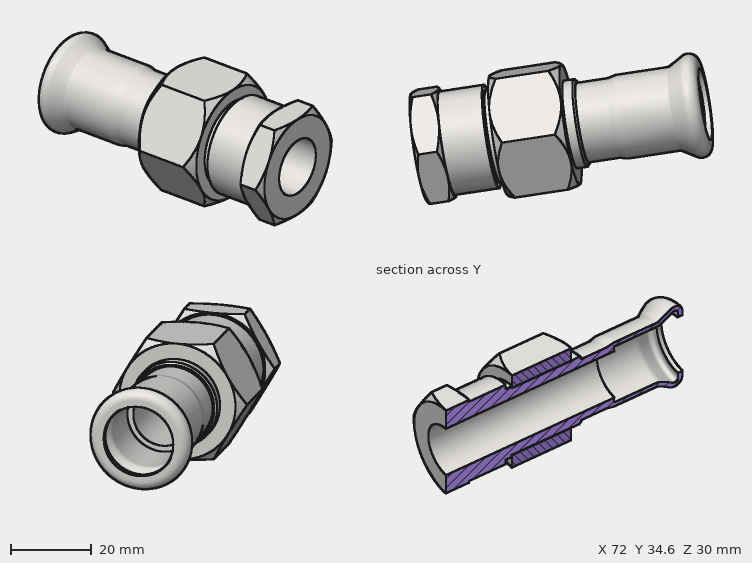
import cadquery as cq
import math

LENGTH = 72.0
BEAD_BLEND_END = 8.0
TAPER_START = 20.7
COLLAR_START = 30.8
NUT_START = 33.9
NUT_LENGTH = 18.0
RELIEF_START = 53.4
RELIEF_END = 53.85
END_HEX_LENGTH = 7.05

BEAD_DIAMETER = 26.1
BEAD_RADIUS = 2.5
BEAD_START_ANGLE = -90.0
BEAD_SLOPE = 30.0
BEAD_BLEND_RADIUS = 1.6
PIPE_DIAMETER = 21.0
NECK_DIAMETER = 20.0
TAPER_SLOPE = 14.0
TAPER_OUTER_RADIUS = 1.8
TAPER_INNER_RADIUS = 2.9
COLLAR_DIAMETER = 22.0
COLLAR_CHAMFER = 0.6
SHOULDER_DIAMETER = 23.2
RELIEF_DIAMETER = 23.0
BARREL_DIAMETER = 26.0

SOCKET_DIAMETER = 18.0
SOCKET_DEPTH = TAPER_START
BORE_DIAMETER = 15.0

NUT_FLATS = 30.0
NUT_CHAMFER_ANGLE = 45.0
END_HEX_FLATS = 27.0
END_HEX_CHAMFER_ANGLE = 30.0


def cylinder(diameter, start, end):
    """Solid cylinder along X."""
    return cq.Workplane("YZ", origin=(start, 0, 0)).circle(diameter / 2).extrude(end - start)


def arc_point(center, radius, angle):
    """Point on an arc, with the angle in degrees measured from +radial toward +X."""
    turn = math.radians(angle)
    return (center[0] + radius * math.sin(turn), center[1] + radius * math.cos(turn))


def sloped_step(profile, top, bottom, slope, start=0.0):
    """Add a convex arc, a tangent slope and a concave arc to a half profile.

    Both arcs are (center, radius); the convex one begins at the start angle
    and the concave one ends parallel to the axis.
    """
    top_center, top_radius = top
    bottom_center, bottom_radius = bottom
    return (
        profile
        .threePointArc(
            arc_point(top_center, top_radius, (start + slope) / 2),
            arc_point(top_center, top_radius, slope),
        )
        .lineTo(*arc_point(bottom_center, -bottom_radius, slope))
        .threePointArc(
            arc_point(bottom_center, -bottom_radius, slope / 2),
            arc_point(bottom_center, -bottom_radius, 0),
        )
    )


def step_length(drop, top_radius, bottom_radius, slope):
    """Axial length of a sloped step between the two arc centers."""
    turn = math.radians(slope)
    radii = top_radius + bottom_radius
    slope_drop = drop - radii * (1 - math.cos(turn))
    return radii * math.sin(turn) + slope_drop / math.tan(turn)


def bead_arc_centers():
    """Centers of the bead rounding and of the blend behind it, as (X, radial)."""
    bead_center = (BEAD_RADIUS, BEAD_DIAMETER / 2 - BEAD_RADIUS)
    blend_center = (BEAD_BLEND_END, PIPE_DIAMETER / 2 + BEAD_BLEND_RADIUS)
    return bead_center, blend_center


def press_tail():
    """Revolved press end: bead, pipe, tapered step, neck and chamfered collar."""
    pipe = PIPE_DIAMETER / 2
    neck = NECK_DIAMETER / 2
    collar = COLLAR_DIAMETER / 2

    bead_center, bead_blend_center = bead_arc_centers()
    taper_run = step_length(pipe - neck, TAPER_OUTER_RADIUS, TAPER_INNER_RADIUS, TAPER_SLOPE)
    taper_center = (TAPER_START, pipe - TAPER_OUTER_RADIUS)
    neck_center = (TAPER_START + taper_run, neck + TAPER_INNER_RADIUS)

    profile = cq.Workplane("XY").lineTo(0, bead_center[1])
    profile = sloped_step(
        profile,
        (bead_center, BEAD_RADIUS),
        (bead_blend_center, BEAD_BLEND_RADIUS),
        BEAD_SLOPE,
        start=BEAD_START_ANGLE,
    )
    profile = profile.lineTo(TAPER_START, pipe)
    profile = sloped_step(
        profile, (taper_center, TAPER_OUTER_RADIUS), (neck_center, TAPER_INNER_RADIUS), TAPER_SLOPE
    )
    profile = (
        profile
        .lineTo(COLLAR_START, neck)
        .lineTo(COLLAR_START, collar - COLLAR_CHAMFER)
        .lineTo(COLLAR_START + COLLAR_CHAMFER, collar)
        .lineTo(NUT_START, collar)
        .lineTo(NUT_START, 0)
        .close()
    )
    return profile.revolve(360, (0, 0, 0), (1, 0, 0))


def socket():
    """Pipe socket with a seal groove that leaves an even wall inside the bead."""
    socket_radius = SOCKET_DIAMETER / 2
    wall = PIPE_DIAMETER / 2 - socket_radius
    bead_center, bead_blend_center = bead_arc_centers()
    profile = (
        cq.Workplane("XY")
        .lineTo(0, socket_radius)
        .lineTo(wall, socket_radius)
        .lineTo(wall, bead_center[1])
    )
    profile = sloped_step(
        profile,
        (bead_center, BEAD_RADIUS - wall),
        (bead_blend_center, BEAD_BLEND_RADIUS + wall),
        BEAD_SLOPE,
        start=BEAD_START_ANGLE,
    )
    return (
        profile
        .lineTo(SOCKET_DEPTH, socket_radius)
        .lineTo(SOCKET_DEPTH, 0)
        .close()
        .revolve(360, (0, 0, 0), (1, 0, 0))
    )


def chamfered_hexagon(flats, start, length, chamfer_angle):
    """Hexagon along X with corners on +-Y, both ends turned down to the flats."""
    corner = flats / math.sqrt(3)
    inner = flats / 2
    chamfer = (corner - inner) * math.tan(math.radians(chamfer_angle))
    end = start + length
    prism = cq.Workplane("YZ", origin=(start, 0, 0)).polygon(6, 2 * corner).extrude(length)
    envelope = (
        cq.Workplane("XY")
        .polyline([
            (start, 0),
            (start, inner),
            (start + chamfer, corner),
            (end - chamfer, corner),
            (end, inner),
            (end, 0),
        ])
        .close()
        .revolve(360, (0, 0, 0), (1, 0, 0))
    )
    return prism.intersect(envelope)


def make_fitting():
    """Through-bored fitting with the press end, barrel and end hexagon."""
    nut_end = NUT_START + NUT_LENGTH
    end_hex_start = LENGTH - END_HEX_LENGTH
    body = (
        press_tail()
        .union(cylinder(COLLAR_DIAMETER, NUT_START, nut_end))
        .union(cylinder(SHOULDER_DIAMETER, nut_end, RELIEF_START))
        .union(cylinder(RELIEF_DIAMETER, RELIEF_START, RELIEF_END))
        .union(cylinder(BARREL_DIAMETER, RELIEF_END, end_hex_start))
        .union(chamfered_hexagon(END_HEX_FLATS, end_hex_start, END_HEX_LENGTH, END_HEX_CHAMFER_ANGLE))
    )
    return (
        body
        .cut(socket())
        .cut(cylinder(BORE_DIAMETER, 0, LENGTH))
    )


def make_union_nut():
    """Hexagonal union nut around the collar."""
    nut = chamfered_hexagon(NUT_FLATS, NUT_START, NUT_LENGTH, NUT_CHAMFER_ANGLE)
    return nut.cut(cylinder(COLLAR_DIAMETER, NUT_START, NUT_START + NUT_LENGTH))


fitting = make_fitting()
union_nut = make_union_nut()

result = cq.Compound.makeCompound([fitting.val(), union_nut.val()])